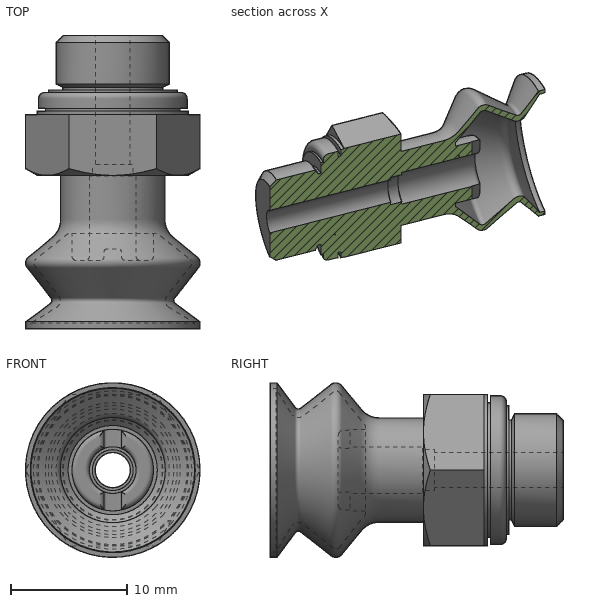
import cadquery as cq
import math

LENGTH = 25.2

HEX_FLATS = 13.0
HEX_CORNERS = HEX_FLATS / math.cos(math.pi / 6)
HEX_START = 13.18
HEX_END = 18.4
HEX_CHAMFER_ANGLE = math.radians(30)

COLLAR_RADIUS = HEX_FLATS / 2
COLLAR_END = 18.7
SEAL_GROOVE_RADIUS = 11.6 / 2
SEAL_RADIUS = 12.8 / 2
SEAL_START = 18.93
SEAL_END = 20.3
SEAL_ROUND = 0.55
SHOULDER_RADIUS = 11.1 / 2
SHOULDER_END = 20.51
THREAD_RADIUS = 9.73 / 2
RELIEF_RADIUS = 4.3
RELIEF_END = 20.75
THREAD_START = 21.02
TIP_CHAMFER = 0.6

NECK_RADIUS = 9.0 / 2
NECK_END = 8.45
NECK_ROUND = 1.9
CUP_RADIUS = 15.0 / 2
LIP_HEIGHT = 0.6
WAIST_RADIUS = 5.12
WAIST_Y = 2.37
WAIST_ROUND = 0.33
FOLD_RADIUS = 7.75
FOLD_Y = 5.75
FOLD_ROUND = 0.65

MOUTH_RADIUS = 14.2 / 2
MOUTH_BEVEL = 0.2
SEAT_RADIUS = 7.03
SEAT_END = 0.5
INNER_WAIST_RADIUS = 4.18
INNER_WAIST_Y = 2.25
INNER_WAIST_ROUND = 0.68
INNER_FOLD_RADIUS = 6.95
INNER_FOLD_Y = 5.72
INNER_FOLD_ROUND = 0.38
CAVITY_END_RADIUS = 3.83
CAVITY_END = 8.2

INSERT_RADIUS = 7.0 / 2
INSERT_FACE = 5.85
INSERT_ROUND = 0.4
SLOT_WIDTH = 1.49
SLOT_DEPTH = 1.0
SLOT_FLOOR_ROUND = 0.25

BORES = (
    (4.0 / 2, INSERT_FACE, 13.1),
    (3.5 / 2, 13.1, 14.1),
    (3.0 / 2, 14.1, LENGTH),
)


def revolve_outline(corners):
    """Revolve a closed (radius, y, rounding) outline about the Y axis."""
    outline = None
    for i, (radius, y, rounding) in enumerate(corners):
        corner = cq.Vector(radius, y)
        if rounding:
            before = cq.Vector(*corners[i - 1][:2]) - corner
            after = cq.Vector(*corners[(i + 1) % len(corners)][:2]) - corner
            half_angle = before.getAngle(after) / 2
            reach = rounding / math.tan(half_angle)
            bisector = (before.normalized() + after.normalized()).normalized()
            arc_start = corner + before.normalized() * reach
            arc_end = corner + after.normalized() * reach
            arc_middle = corner + bisector * (rounding / math.sin(half_angle) - rounding)
            outline = outline.lineTo(arc_start.x, arc_start.y)
            outline = outline.threePointArc(arc_middle.toTuple()[:2], arc_end.toTuple()[:2])
        elif outline is None:
            outline = cq.Workplane("XY").moveTo(radius, y)
        else:
            outline = outline.lineTo(radius, y)
    return outline.close().revolve(360, (0, 0, 0), (0, 1, 0))


def cylinder(radius, start, end):
    """Cylinder on the Y axis between two stations."""
    return cq.Workplane("XZ", origin=(0, start, 0)).circle(radius).extrude(start - end)


def make_hexagon():
    """Hexagon with flats at +Z and -Z, its cup-side corners turned conically."""
    prism = (
        cq.Workplane("XZ", origin=(0, HEX_START, 0))
        .polygon(6, HEX_CORNERS)
        .extrude(HEX_START - HEX_END)
    )
    cone_reach = (HEX_END - HEX_START) / math.tan(HEX_CHAMFER_ANGLE)
    turning_cone = revolve_outline((
        (0, HEX_START, 0),
        (HEX_FLATS / 2, HEX_START, 0),
        (HEX_FLATS / 2 + cone_reach, HEX_END, 0),
        (0, HEX_END, 0),
    ))
    return prism.intersect(turning_cone)


def make_fitting():
    """Collar, sealing ring, relief groove and threaded end."""
    return revolve_outline((
        (0, HEX_END, 0),
        (COLLAR_RADIUS, HEX_END, 0),
        (COLLAR_RADIUS, COLLAR_END, 0),
        (SEAL_GROOVE_RADIUS, COLLAR_END, 0),
        (SEAL_GROOVE_RADIUS, SEAL_START, 0),
        (SEAL_RADIUS, SEAL_START, 0),
        (SEAL_RADIUS, SEAL_END, SEAL_ROUND),
        (SHOULDER_RADIUS, SEAL_END, 0),
        (SHOULDER_RADIUS, SHOULDER_END, 0),
        (RELIEF_RADIUS, SHOULDER_END, 0),
        (RELIEF_RADIUS, RELIEF_END, 0),
        (THREAD_RADIUS, THREAD_START, 0),
        (THREAD_RADIUS, LENGTH - TIP_CHAMFER, 0),
        (THREAD_RADIUS - TIP_CHAMFER, LENGTH, 0),
        (0, LENGTH, 0),
    ))


def make_cup():
    """Bellows with one fold, hollow from the mouth to the end of the cavity."""
    return revolve_outline((
        (0, HEX_START, 0),
        (NECK_RADIUS, HEX_START, 0),
        (NECK_RADIUS, NECK_END, NECK_ROUND),
        (FOLD_RADIUS, FOLD_Y, FOLD_ROUND),
        (WAIST_RADIUS, WAIST_Y, WAIST_ROUND),
        (CUP_RADIUS, LIP_HEIGHT, 0),
        (CUP_RADIUS, 0, 0),
        (MOUTH_RADIUS, 0, 0),
        (SEAT_RADIUS, MOUTH_BEVEL, 0),
        (SEAT_RADIUS, SEAT_END, 0),
        (INNER_WAIST_RADIUS, INNER_WAIST_Y, INNER_WAIST_ROUND),
        (INNER_FOLD_RADIUS, INNER_FOLD_Y, INNER_FOLD_ROUND),
        (CAVITY_END_RADIUS, CAVITY_END, 0),
        (0, CAVITY_END, 0),
    ))


def make_insert():
    """Tube with a rounded end face, cut across by a slot along Z."""
    bore_radius = BORES[0][0]
    tube = cylinder(INSERT_RADIUS, INSERT_FACE, HEX_START)
    tube = tube.cut(cylinder(bore_radius, INSERT_FACE, HEX_START))
    slot = (
        cq.Workplane("XY")
        .box(SLOT_WIDTH, 2 * SLOT_DEPTH, 2 * CUP_RADIUS)
        .edges("|Z")
        .fillet(SLOT_FLOOR_ROUND)
        .translate((0, INSERT_FACE, 0))
    )
    return tube.cut(slot).faces("<Y").edges().fillet(INSERT_ROUND)


result = make_cup().union(make_hexagon()).union(make_fitting()).union(make_insert())
for bore_radius, bore_start, bore_end in BORES:
    result = result.cut(cylinder(bore_radius, bore_start, bore_end))